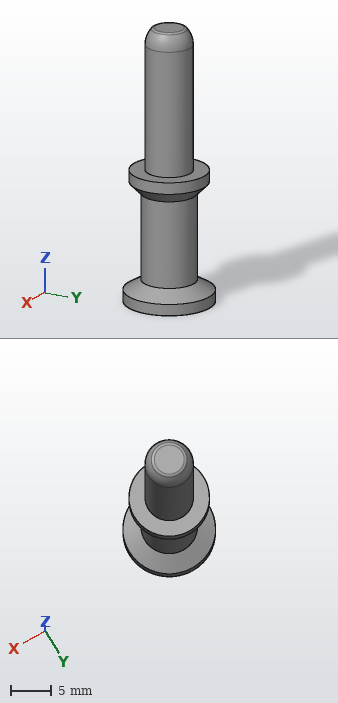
import cadquery as cq
import math

total_height = 35.8
base_radius = 11.5 / 2
body_radius = 7.0 / 2
collar_radius = 10.0 / 2
pin_radius = 6.0 / 2

rim_height = 1.5
base_cone_height = 1.32
body_length = 11.35
collar_cone_height = 1.5
collar_height = 1.5

nose_height = 2.2
tip_round_radius = 0.5

base_cone_top = rim_height + base_cone_height
body_top = base_cone_top + body_length
collar_cone_top = body_top + collar_cone_height
collar_top = collar_cone_top + collar_height
nose_start = total_height - nose_height

center_spacing = pin_radius - tip_round_radius
round_center_rise = nose_height - tip_round_radius
tip_flat_radius = math.sqrt(center_spacing**2 - round_center_rise**2)
blend_angle = math.atan2(round_center_rise, tip_flat_radius)
round_center_z = nose_start + round_center_rise


def arc_point(center_r, center_z, radius, angle):
    """Profile point on an arc, with the angle measured up from the horizontal."""
    return center_r + radius * math.cos(angle), center_z + radius * math.sin(angle)


ball_middle = arc_point(0, nose_start, pin_radius, blend_angle / 2)
blend_point = arc_point(0, nose_start, pin_radius, blend_angle)
round_middle_angle = (blend_angle + math.pi / 2) / 2
round_middle = arc_point(tip_flat_radius, round_center_z, tip_round_radius, round_middle_angle)

profile = (
    cq.Workplane("XZ")
    .lineTo(base_radius, 0)
    .lineTo(base_radius, rim_height)
    .lineTo(body_radius, base_cone_top)
    .lineTo(body_radius, body_top)
    .lineTo(collar_radius, collar_cone_top)
    .lineTo(collar_radius, collar_top)
    .lineTo(pin_radius, collar_top)
    .lineTo(pin_radius, nose_start)
    .threePointArc(ball_middle, blend_point)
    .threePointArc(round_middle, (tip_flat_radius, total_height))
    .lineTo(0, total_height)
    .close()
)

result = profile.revolve(360, (0, 0, 0), (0, 1, 0))